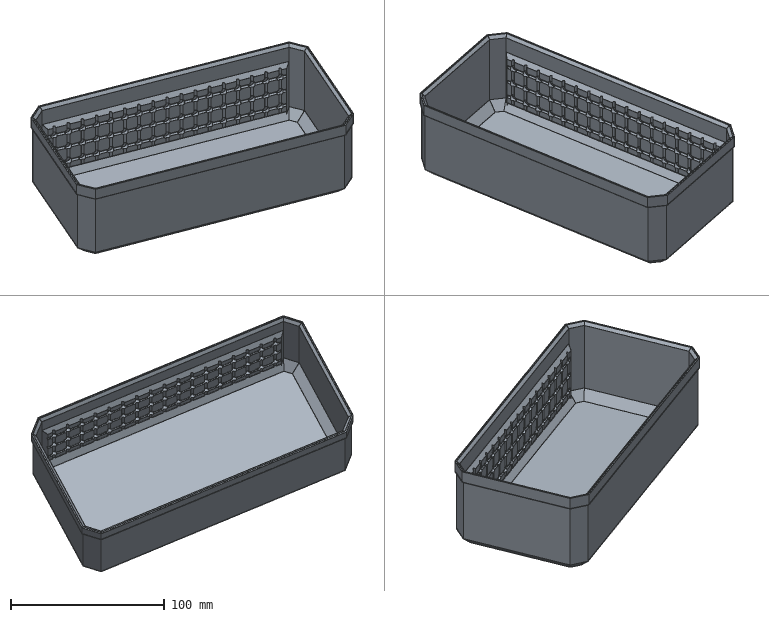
import cadquery as cq
WIDTH = 96.0
LENGTH = 196.0
HEIGHT = 59.0

RIM_CORNER = 9.5
RIM_HEIGHT = 8.0
RIM_OVERHANG = 1.0
BOTTOM_BEVEL = 6.0

WALL = 2.0
FLOOR = 2.0
LIP_WIDTH = 1.0
INNER_INSET = RIM_OVERHANG + WALL
INNER_BEVEL_TOP = FLOOR + BOTTOM_BEVEL

PANEL_TOP = 45.5
PANEL_THICKNESS = 3.0

GROOVE_RADIUS = 1.0
GROOVE_PITCH = 10.0
GROOVE_COUNT = 17
FOOT_GROOVE = 5.9
HOLE_DIAMETER = 4.7
HOLE_ROW_PITCH = 12.0
HOLE_ROWS = 3
LOWEST_HOLE = 12.3

CORNER_SHRINK = 2 - 2**0.5


def corner_leg(inset):
    """Corner leg of the rim octagon after it is shrunk by inset."""
    return RIM_CORNER - CORNER_SHRINK * inset


WALL_X = WIDTH / 2 - INNER_INSET
FACE_X = WALL_X - PANEL_THICKNESS
PANEL_HALF = LENGTH / 2 - INNER_INSET - corner_leg(INNER_INSET)
FACE_HALF = PANEL_HALF - PANEL_THICKNESS

GROOVE_PLACES = [(index - (GROOVE_COUNT - 1) / 2) * GROOVE_PITCH for index in range(GROOVE_COUNT)]
HOLE_HEIGHTS = [LOWEST_HOLE + index * HOLE_ROW_PITCH for index in range(HOLE_ROWS)]


def octagon(inset, z):
    """Rectangle with cut corners, inset from the rim outline, at height z."""
    half_x = WIDTH / 2 - inset
    half_y = LENGTH / 2 - inset
    leg = corner_leg(inset)
    points = [
        (half_x - leg, -half_y),
        (half_x, -half_y + leg),
        (half_x, half_y - leg),
        (half_x - leg, half_y),
        (-half_x + leg, half_y),
        (-half_x, half_y - leg),
        (-half_x, -half_y + leg),
        (-half_x + leg, -half_y),
    ]
    return cq.Workplane("XY").workplane(offset=z).polyline(points).close()


def prism(inset, z_low, z_high):
    """Octagonal block between two heights."""
    return octagon(inset, z_low).extrude(z_high - z_low)


def bevel(inset_low, z_low, inset_high, z_high):
    """Solid between two octagons of different inset."""
    wires = [octagon(inset_low, z_low).val(), octagon(inset_high, z_high).val()]
    return cq.Workplane(cq.Solid.makeLoft(wires, True))


def outer_body():
    """Solid tray shape with a bevelled foot and a flared rim."""
    rim_bottom = HEIGHT - RIM_HEIGHT
    flare_bottom = rim_bottom - RIM_OVERHANG
    foot = bevel(RIM_OVERHANG + BOTTOM_BEVEL, 0, RIM_OVERHANG, BOTTOM_BEVEL)
    body = prism(RIM_OVERHANG, BOTTOM_BEVEL, flare_bottom)
    flare = bevel(RIM_OVERHANG, flare_bottom, 0, rim_bottom)
    rim = prism(0, rim_bottom, HEIGHT)
    return foot.union(body).union(flare).union(rim)


def cavity():
    """Space inside the tray, bevelled at the floor and at the lip."""
    lip_bottom = HEIGHT - (INNER_INSET - LIP_WIDTH)
    base = bevel(INNER_INSET + BOTTOM_BEVEL, FLOOR, INNER_INSET, INNER_BEVEL_TOP)
    middle = prism(INNER_INSET, INNER_BEVEL_TOP, lip_bottom)
    lip = bevel(INNER_INSET, lip_bottom, LIP_WIDTH, HEIGHT)
    return base.union(middle).union(lip)


def panel_blank():
    """Panel on the +X wall with 45 degree ends and ledge, resting on the floor bevel."""
    plan = [(WALL_X, -PANEL_HALF), (WALL_X, PANEL_HALF), (FACE_X, FACE_HALF), (FACE_X, -FACE_HALF)]
    profile = [
        (WALL_X, INNER_BEVEL_TOP),
        (WALL_X, PANEL_TOP),
        (FACE_X, PANEL_TOP - PANEL_THICKNESS),
        (FACE_X, INNER_BEVEL_TOP - PANEL_THICKNESS),
    ]
    plate = cq.Workplane("XY").polyline(plan).close().extrude(PANEL_TOP)
    section = cq.Workplane("XZ").polyline(profile).close().extrude(PANEL_HALF, both=True)
    return plate.intersect(section)


def vertical_grooves():
    """Row of half-round grooves running up the panel face."""
    centers = [(FACE_X, y) for y in GROOVE_PLACES]
    return cq.Workplane("XY").pushPoints(centers).circle(GROOVE_RADIUS).extrude(PANEL_TOP)


def level_grooves():
    """Half-round grooves along the panel, one per hole row and one at its foot."""
    centers = [(FACE_X, z) for z in [FOOT_GROOVE] + HOLE_HEIGHTS]
    return cq.Workplane("XZ").pushPoints(centers).circle(GROOVE_RADIUS).extrude(FACE_HALF, both=True)


def holes():
    """Holes through the panel, down to the wall, where vertical grooves cross hole rows."""
    centers = [(y, z) for y in GROOVE_PLACES for z in HOLE_HEIGHTS]
    plane = cq.Workplane("YZ").workplane(offset=FACE_X)
    return plane.pushPoints(centers).circle(HOLE_DIAMETER / 2).extrude(PANEL_THICKNESS)


panel = panel_blank().cut(vertical_grooves()).cut(level_grooves()).cut(holes())
result = outer_body().cut(cavity()).union(panel).union(panel.mirror("YZ"))